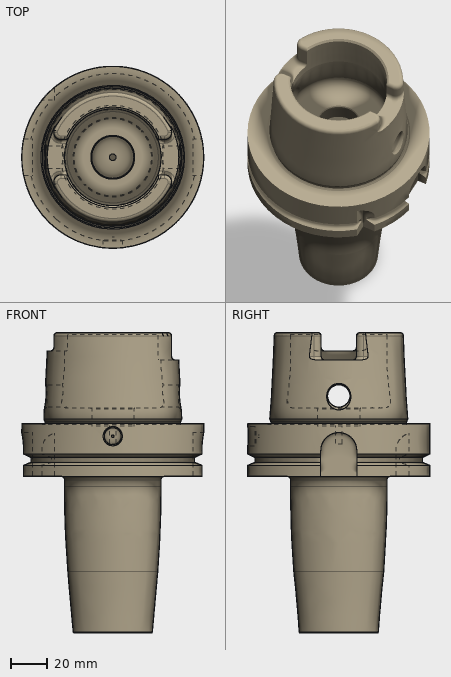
import cadquery as cq
import math


total_length = 164.9
flange_radius = 50.0

shank_length = 50.0
taper_top_radius = 35.5
taper_base_radius = 38.0
taper_base_height = 2.5
neck_radius = 37.3
neck_height = 1.0
relief_depth = 0.5
relief_floor_radius = 38.8
relief_face_radius = 39.4
shank_rim_fillet = 2.0

flange_thickness = 29.0
groove_top = 16.7
groove_floor_top = 18.6
groove_floor_bottom = 21.3
groove_bottom = 23.0
groove_radius = 46.0

nose_radius = 26.5
nose_fillet = 1.8
nose_straight_length = 5.5
nose_blend_radius = 24.7
nose_blend_end_depth = 81.1
nose_tip_radius = 21.8
nose_tip_chamfer = 0.5

bore_radius = 26.5
bore_chamfer = 1.0
lip_length = 20.0
bore_floor_radius = 25.0
bore_floor_fillet = 3.5
bore_depth = 41.4
coolant_bore_radius = 12.0
coolant_bore_depth = 9.9
coolant_bore_chamfer = 0.5
centre_hole_radius = 1.8
centre_hole_depth = 9.9

drive_slot_width = 19.3
drive_slot_depth_left = 10.0
drive_slot_depth_right = 15.0
drive_slot_corner_radius = 4.0
drive_slot_flare_end = 32.3
drive_slot_floor_fillet = 2.0

cross_hole_radius = 6.1
cross_hole_height = 15.2
countersink_radius = 6.6
countersink_position = 36.6

keyway_width = 19.8
keyway_top = 5.0
keyway_floor = 44.0
notch_floor = 31.8
notch_side = 31.3

chip_radius = 5.3
chip_floor_radius = 4.6
chip_depth = 4.6
chip_floor_chamfer = chip_radius - chip_floor_radius
chip_drop = 7.0
chip_centre_radius = 0.7
chip_centre_depth = 1.6
chip_overshoot = 1.6


def make_body():
    """Solid of revolution: shank, flange, groove and nose."""
    bottom = shank_length - total_length
    nose_top = -flange_thickness
    return (
        cq.Workplane("XZ")
        .moveTo(0, shank_length)
        .lineTo(taper_top_radius, shank_length)
        .lineTo(taper_base_radius, taper_base_height)
        .lineTo(neck_radius, neck_height)
        .lineTo(neck_radius, -relief_depth)
        .lineTo(relief_floor_radius, -relief_depth)
        .lineTo(relief_face_radius, 0)
        .lineTo(flange_radius, 0)
        .lineTo(flange_radius, -groove_top)
        .lineTo(groove_radius, -groove_floor_top)
        .lineTo(groove_radius, -groove_floor_bottom)
        .lineTo(flange_radius, -groove_bottom)
        .lineTo(flange_radius, nose_top)
        .lineTo(nose_radius + nose_fillet, nose_top)
        .radiusArc((nose_radius, nose_top - nose_fillet), -nose_fillet)
        .lineTo(nose_radius, nose_top - nose_straight_length)
        .tangentArcPoint((nose_blend_radius, -nose_blend_end_depth), relative=False)
        .lineTo(nose_tip_radius, bottom + nose_tip_chamfer)
        .lineTo(nose_tip_radius - nose_tip_chamfer, bottom)
        .lineTo(0, bottom)
        .close()
        .revolve(360, (0, 0, 0), (0, 1, 0))
    )


def make_bore():
    """Clamping bore, widening below its lip, with floor fillet and coolant holes."""
    lip_end = shank_length - lip_length
    floor = shank_length - bore_depth
    wide_radius = bore_floor_radius + bore_floor_fillet
    coolant_floor = floor - coolant_bore_depth
    centre_floor = coolant_floor - centre_hole_depth
    return (
        cq.Workplane("XZ")
        .moveTo(0, shank_length)
        .lineTo(bore_radius + bore_chamfer, shank_length)
        .lineTo(bore_radius, shank_length - bore_chamfer)
        .lineTo(bore_radius, lip_end)
        .lineTo(wide_radius, floor + bore_floor_fillet)
        .radiusArc((bore_floor_radius, floor), bore_floor_fillet)
        .lineTo(coolant_bore_radius, floor)
        .lineTo(coolant_bore_radius - coolant_bore_chamfer, floor - coolant_bore_chamfer)
        .lineTo(coolant_bore_radius - coolant_bore_chamfer, coolant_floor)
        .lineTo(centre_hole_radius, coolant_floor)
        .lineTo(centre_hole_radius, centre_floor)
        .lineTo(0, centre_floor)
        .close()
        .revolve(360, (0, 0, 0), (0, 1, 0))
    )


def make_drive_slot(side, depth):
    """Rim slot cutter on the given X side (-1 or 1), flared outward by quarter rounds."""
    half = drive_slot_width / 2
    flare_start = drive_slot_flare_end - drive_slot_corner_radius
    flare_half = half + drive_slot_corner_radius
    slot = (
        cq.Workplane("XY", origin=(0, 0, shank_length - depth))
        .moveTo(0, -half)
        .lineTo(side * flare_start, -half)
        .tangentArcPoint((side * drive_slot_flare_end, -flare_half), relative=False)
        .lineTo(side * drive_slot_flare_end, -flange_radius)
        .lineTo(side * flange_radius, -flange_radius)
        .lineTo(side * flange_radius, flange_radius)
        .lineTo(side * drive_slot_flare_end, flange_radius)
        .lineTo(side * drive_slot_flare_end, flare_half)
        .tangentArcPoint((side * flare_start, half), relative=False)
        .lineTo(0, half)
        .close()
        .extrude(depth)
    )
    return slot.faces("<Z").edges().fillet(drive_slot_floor_fillet)


def round_rim(body):
    """Round every edge of the rim face except the one already chamfered at the bore."""
    mouth_radius = bore_radius + bore_chamfer

    def is_mouth(edge):
        return edge.geomType() == "CIRCLE" and math.isclose(edge.radius(), mouth_radius)

    rim_edges = body.faces(">Z").edges().filter(lambda edge: not is_mouth(edge))
    return rim_edges.fillet(shank_rim_fillet)


def make_cross_hole():
    """Hole through the shank along X with a 45 degree countersink at each end."""
    outer_end = taper_base_radius
    outer_radius = countersink_radius + outer_end - countersink_position
    cone_start = countersink_position - countersink_radius + cross_hole_radius
    return (
        cq.Workplane("XZ", origin=(0, 0, cross_hole_height))
        .moveTo(-outer_end, 0)
        .lineTo(-outer_end, outer_radius)
        .lineTo(-cone_start, cross_hole_radius)
        .lineTo(cone_start, cross_hole_radius)
        .lineTo(outer_end, outer_radius)
        .lineTo(outer_end, 0)
        .close()
        .revolve(360, (0, 0, 0), (1, 0, 0))
    )


def make_keyway(floor_point, direction_x, centre_y):
    """Round-topped slot cutter open at the flange bottom, running outward along X."""
    radius = keyway_width / 2
    arch_centre = -keyway_top - radius
    return (
        cq.Workplane("YZ", origin=(floor_point, 0, 0))
        .moveTo(centre_y - radius, -flange_thickness)
        .lineTo(centre_y - radius, arch_centre)
        .threePointArc((centre_y, -keyway_top), (centre_y + radius, arch_centre))
        .lineTo(centre_y + radius, -flange_thickness)
        .close()
        .extrude(direction_x * flange_radius)
    )


def make_chip_pocket():
    """Round radial pocket on the -Y side with a chamfered floor and a small centre hole."""
    floor = flange_radius - chip_depth
    outside = flange_radius + chip_overshoot
    return (
        cq.Workplane("XY", origin=(0, 0, -chip_drop))
        .moveTo(0, -outside)
        .lineTo(chip_radius, -outside)
        .lineTo(chip_radius, -floor - chip_floor_chamfer)
        .lineTo(chip_floor_radius, -floor)
        .lineTo(chip_centre_radius, -floor)
        .lineTo(chip_centre_radius, -floor + chip_centre_depth)
        .lineTo(0, -floor + chip_centre_depth)
        .close()
        .revolve(360, (0, 0, 0), (0, 1, 0))
    )


result = make_body().cut(make_bore())
result = result.cut(make_drive_slot(-1, drive_slot_depth_left))
result = result.cut(make_drive_slot(1, drive_slot_depth_right))
result = round_rim(result)
result = result.cut(make_cross_hole())
result = result.cut(make_keyway(-keyway_floor, -1, 0))
result = result.cut(make_keyway(keyway_floor, 1, 0))
result = result.cut(make_keyway(-notch_floor, -1, notch_side + keyway_width / 2))
result = result.cut(make_chip_pocket())